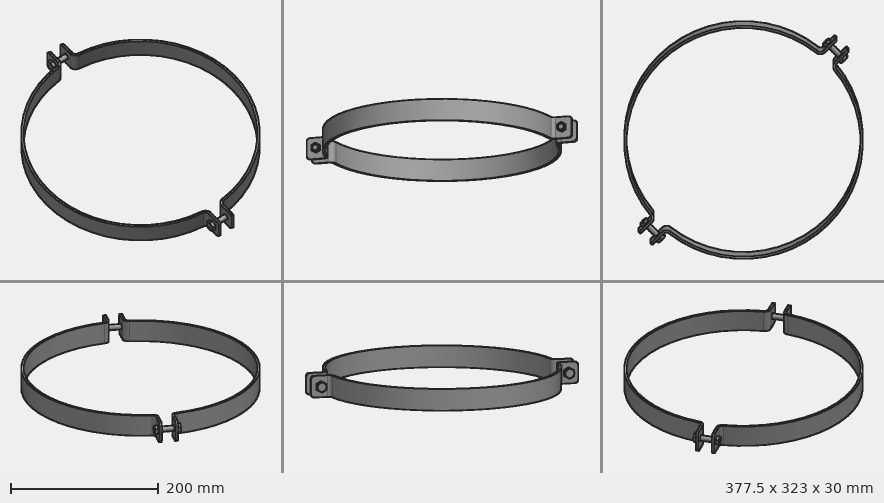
import cadquery as cq
import math

overall_length = 377.5
overall_width = 323.0
band_height = 30.0
band_thickness = 3.5
tab_gap = 19.0
tab_corner_radius = 5.0
bend_radius = 5.3
bolt_hole_diameter = 8.5
bolt_spacing = 350.2

shank_diameter = 8.0
head_across_flats = 13.2
head_height = 5.5
nut_across_flats = 11.5
nut_height = 4.5
hex_chamfer_ratio = 0.95
hex_chamfer_angle = 30.0

ring_outer_radius = overall_width / 2
ring_inner_radius = ring_outer_radius - band_thickness
tab_end = overall_length / 2
tab_inner_y = tab_gap / 2
tab_outer_y = tab_inner_y + band_thickness
bolt_x = bolt_spacing / 2

bend_y = tab_outer_y + bend_radius
bend_center_distance = ring_outer_radius + bend_radius
bend_x = math.sqrt(bend_center_distance**2 - bend_y**2)
bend_angle = math.atan2(bend_y, bend_x)


def ring_point(radius, side):
    """Point where the ring of the given radius meets the bend on side +1 or -1 of X."""
    return side * radius * math.cos(bend_angle), radius * math.sin(bend_angle)


def bend_point(radius, side):
    """Middle point of the bend arc with the given radius around the bend centre."""
    middle_angle = (math.pi / 2 + bend_angle) / 2
    x = bend_x - radius * math.cos(middle_angle)
    return side * x, bend_y - radius * math.sin(middle_angle)


def make_half_band():
    """Half band on the +Y side."""
    bend_outer_radius = bend_radius + band_thickness
    band = (
        cq.Workplane("XY")
        .moveTo(-tab_end, tab_outer_y)
        .lineTo(-bend_x, tab_outer_y)
        .threePointArc(bend_point(bend_radius, -1), ring_point(ring_outer_radius, -1))
        .threePointArc((0, ring_outer_radius), ring_point(ring_outer_radius, 1))
        .threePointArc(bend_point(bend_radius, 1), (bend_x, tab_outer_y))
        .lineTo(tab_end, tab_outer_y)
        .lineTo(tab_end, tab_inner_y)
        .lineTo(bend_x, tab_inner_y)
        .threePointArc(bend_point(bend_outer_radius, 1), ring_point(ring_inner_radius, 1))
        .threePointArc((0, ring_inner_radius), ring_point(ring_inner_radius, -1))
        .threePointArc(bend_point(bend_outer_radius, -1), (-bend_x, tab_inner_y))
        .lineTo(-tab_end, tab_inner_y)
        .close()
        .extrude(band_height / 2, both=True)
    )
    band = band.edges("|Y and (>X or <X)").fillet(tab_corner_radius)
    holes = (
        cq.Workplane("XZ")
        .pushPoints([(-bolt_x, 0), (bolt_x, 0)])
        .circle(bolt_hole_diameter / 2)
        .extrude(-tab_outer_y)
    )
    return band.cut(holes)


def make_hex_block(across_flats, height):
    """Hexagonal block along +Z from Z = 0, corners on +-Y, far end chamfered."""
    across_corners = across_flats / math.cos(math.pi / 6)
    block = (
        cq.Workplane("XY")
        .transformed(rotate=(0, 0, 90))
        .polygon(6, across_corners)
        .extrude(height)
    )
    face_radius = across_flats * hex_chamfer_ratio / 2
    corner_radius = across_corners / 2
    chamfer_drop = (corner_radius - face_radius) * math.tan(math.radians(hex_chamfer_angle))
    envelope = (
        cq.Workplane("XZ")
        .moveTo(0, 0)
        .lineTo(corner_radius, 0)
        .lineTo(corner_radius, height - chamfer_drop)
        .lineTo(face_radius, height)
        .lineTo(0, height)
        .close()
        .revolve(360, (0, 0), (0, 1))
    )
    return block.intersect(envelope)


def make_bolt(x):
    """Bolt along Y: head against the -Y tab, shank end flush with the nut."""
    head = (
        make_hex_block(head_across_flats, head_height)
        .rotate((0, 0, 0), (1, 0, 0), 90)
        .translate((x, -tab_outer_y, 0))
    )
    shank_length = 2 * tab_outer_y + nut_height
    shank = (
        cq.Workplane("XZ", origin=(x, -tab_outer_y, 0))
        .circle(shank_diameter / 2)
        .extrude(-shank_length)
    )
    return head.union(shank)


def make_nut(x):
    """Nut against the +Y tab, bored to fit the bolt shank."""
    return (
        make_hex_block(nut_across_flats, nut_height)
        .cut(cq.Workplane("XY").circle(shank_diameter / 2).extrude(nut_height))
        .rotate((0, 0, 0), (1, 0, 0), -90)
        .translate((x, tab_outer_y, 0))
    )


rear_band = make_half_band()
front_band = make_half_band().mirror("XZ")

bolts = []
nuts = []
for side in (-1, 1):
    bolts.append(make_bolt(side * bolt_x).val())
    nuts.append(make_nut(side * bolt_x).val())

result = cq.Compound.makeCompound([rear_band.val(), front_band.val(), *bolts, *nuts])